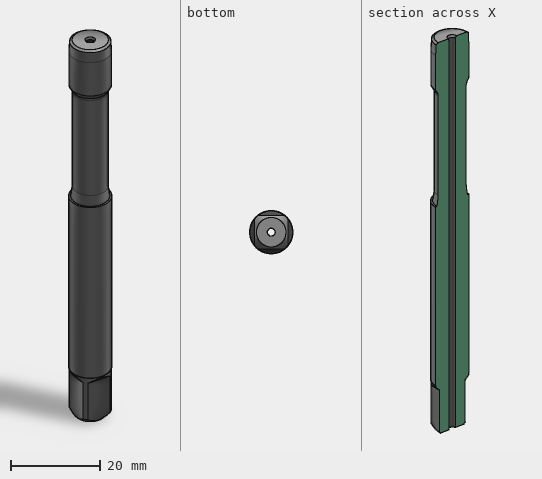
import cadquery as cq
import math

length = 100.0
shank_bottom = 12.6
shank_top = 58.3
neck_bottom = 61.0
neck_top = 86.4
collar_top = 87.0
head_bottom = 88.1
head_taper_start = 97.0
tip_chamfer_start = 99.6

shank_diameter = 9.7
square_corner_diameter = 9.5
square_end_diameter = 6.6
shoulder_diameter = 8.8
neck_diameter = 8.1
collar_diameter = 8.3
head_diameter = 9.6
head_taper_diameter = 9.3
tip_diameter = 8.1
bore_diameter = 1.7
countersink_diameter = 2.3
countersink_angle = 60

across_flats = 7.5
flat_top = 11.2
end_chamfer = (square_corner_diameter - square_end_diameter) / 2


def turned_body():
    """Revolve the stepped half profile about the tool axis."""
    stations = [
        (square_end_diameter, 0),
        (square_corner_diameter, end_chamfer),
        (square_corner_diameter, shank_bottom),
        (shank_diameter, shank_bottom),
        (shank_diameter, shank_top),
        (shoulder_diameter, shank_top),
        (neck_diameter, neck_bottom),
        (neck_diameter, neck_top),
        (collar_diameter, collar_top),
        (head_diameter, head_bottom),
        (head_diameter, head_taper_start),
        (head_taper_diameter, tip_chamfer_start),
        (tip_diameter, length),
    ]
    profile = [(diameter / 2, height) for diameter, height in stations]
    outline = [(0, 0)] + profile + [(0, length)]
    return cq.Workplane("XZ").polyline(outline).close().revolve(360, (0, 0), (0, 1))


def flat_cutter():
    """Block removing one side of the square, with a 45 degree run-out at its upper end."""
    inner = across_flats / 2
    outer = shank_diameter
    run_out_top = flat_top + outer - inner
    return (
        cq.Workplane("XZ")
        .polyline([(inner, 0), (outer, 0), (outer, run_out_top), (inner, flat_top)])
        .close()
        .extrude(shank_diameter / 2, both=True)
    )


body = turned_body()

for side in range(4):
    body = body.cut(flat_cutter().rotate((0, 0, 0), (0, 0, 1), 90 * side))

bore = cq.Workplane("XY").circle(bore_diameter / 2).extrude(length)

countersink_depth = (countersink_diameter - bore_diameter) / 2 / math.tan(math.radians(countersink_angle / 2))
countersink = cq.Workplane("XY").add(
    cq.Solid.makeCone(
        bore_diameter / 2,
        countersink_diameter / 2,
        countersink_depth,
        pnt=cq.Vector(0, 0, length - countersink_depth),
    )
)

result = body.cut(bore).cut(countersink)